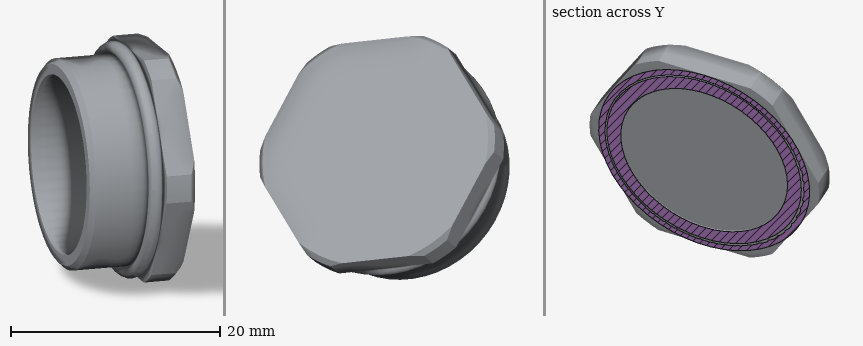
import cadquery as cq


head_thickness = 3.0
head_sides = 6
head_turn = 90
across_flats = 22.0
head_corner_diameter = 24.0
head_chamfer = 0.5

overall_length = 10.0
shank_length = overall_length - head_thickness
shank_diameter = 20.4
shank_chamfer = 0.5
bore_diameter = 17.4
bore_depth = shank_length

ring_outer_diameter = 22.8
ring_section_diameter = 1.4


def disc(diameter, y_start, y_end):
    """Cylinder on the Y axis between two Y positions."""
    return (
        cq.Workplane("XZ", origin=(0, y_start, 0))
        .circle(diameter / 2)
        .extrude(y_start - y_end)
    )


def make_head():
    """Hexagon with flats facing +Z and -Z, corners rounded and rear rim chamfered."""
    hexagon = (
        cq.Workplane("XZ")
        .transformed(rotate=(0, 0, head_turn))
        .polygon(head_sides, across_flats, circumscribed=True)
        .extrude(-head_thickness)
    )
    turned_blank = disc(head_corner_diameter, 0, head_thickness).faces(">Y").chamfer(head_chamfer)
    return hexagon.intersect(turned_blank)


def make_shank():
    """Round shank with a chamfered open end."""
    return disc(shank_diameter, -shank_length, 0).faces("<Y").chamfer(shank_chamfer)


def make_sealing_ring():
    """Round-section ring resting against the seat of the head."""
    section_radius = ring_section_diameter / 2
    centre_radius = ring_outer_diameter / 2 - section_radius
    ring_centre = cq.Vector(0, -section_radius, 0)
    ring_axis = cq.Vector(0, 1, 0)
    return cq.Workplane(cq.Solid.makeTorus(centre_radius, section_radius, ring_centre, ring_axis))


def make_bore():
    """Blind bore from the open end of the shank."""
    return disc(bore_diameter, -shank_length, bore_depth - shank_length)


result = make_head().union(make_shank()).union(make_sealing_ring()).cut(make_bore())